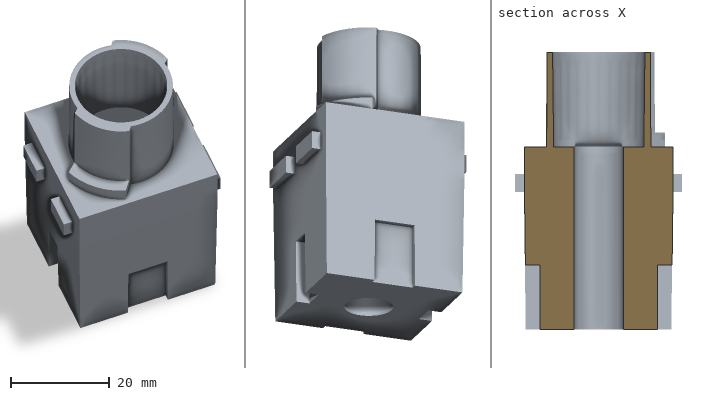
import cadquery as cq
import math

body_width = 29.35
body_depth = 30.15
body_top = 37.0
band_bottom = 27.8
body_inset = 0.35

overall_depth = 33.85
lug_projection = (overall_depth - body_depth) / 2
lug_height = 3.65
front_lug_width = 6.95
front_lug_offset = 7.37
back_lug_width = 9.05
back_lug_offset = 7.3

slot_height = 13.05
y_slot_bottom_width = 5.2
y_slot_top_width = 4.9
y_slot_depth = 2.8
x_slot_bottom_width = 8.75
x_slot_top_width = 8.6
x_slot_depth = 1.2

total_height = 56.2
spigot_height = total_height - body_top
spigot_base_radius = 10.65
spigot_top_radius = 10.5
socket_top_radius = 9.35
socket_floor_radius = 9.15
bore_diameter = 9.9

rib_base_radius = 11.85
rib_top_radius = 11.65
foot_radius = 14.3
foot_height = 2.9
key_corner_angles = (110.0, 161.6)
key_flank_directions = (-47.0, -37.0)
flank_length = 6.0


def polar(radius, degrees):
    angle = math.radians(degrees)
    return (radius * math.cos(angle), radius * math.sin(angle))


def cone(base_radius, top_radius, height, base_z):
    """Upright tapered cylinder on the Z axis."""
    return cq.Workplane(cq.Solid.makeCone(base_radius, top_radius, height, pnt=cq.Vector(0, 0, base_z)))


def make_body():
    band = (
        cq.Workplane("XY")
        .workplane(offset=band_bottom)
        .rect(body_width, body_depth)
        .extrude(body_top - band_bottom)
    )
    lower = (
        cq.Workplane("XY")
        .rect(body_width - 2 * body_inset, body_depth - 2 * body_inset)
        .workplane(offset=band_bottom)
        .rect(body_width, body_depth)
        .loft(ruled=True)
    )
    return band.union(lower)


def make_lugs(width, offset, side):
    """Pair of lugs on the Y face selected by side (-1 front, +1 back)."""
    embed = lug_projection
    return (
        cq.Workplane("XY")
        .workplane(offset=band_bottom)
        .pushPoints([(x, side * body_depth / 2) for x in (-offset, offset)])
        .rect(width, lug_projection + embed)
        .extrude(lug_height)
    )


def make_slot_pair(plane, bottom_width, top_width, face_distance, depth):
    """Cutters for two opposite slots that narrow upward.

    face_distance runs from the Z axis to the slotted face at the bottom edge.
    """
    outline = (
        cq.Workplane(plane)
        .polyline(
            [
                (-bottom_width / 2, 0),
                (bottom_width / 2, 0),
                (top_width / 2, slot_height),
                (-top_width / 2, slot_height),
            ]
        )
        .close()
    )
    across = outline.extrude(2 * face_distance, both=True)
    core_side = 2 * (face_distance - depth)
    core = cq.Workplane("XY").rect(core_side, core_side).extrude(slot_height)
    return across.cut(core)


def make_key():
    """One rib and foot, filling the wedge between the two flanks."""
    start_angle, end_angle = key_corner_angles
    start = polar(foot_radius, start_angle)
    end = polar(foot_radius, end_angle)
    inner_points = []
    for corner, direction in zip((start, end), key_flank_directions):
        step = polar(flank_length, direction)
        inner_points.append((corner[0] + step[0], corner[1] + step[1]))
    wedge = (
        cq.Workplane("XY")
        .workplane(offset=body_top)
        .moveTo(*start)
        .threePointArc(polar(foot_radius, (start_angle + end_angle) / 2), end)
        .lineTo(*inner_points[1])
        .lineTo(*inner_points[0])
        .close()
        .extrude(spigot_height)
    )
    foot_layer = (
        cq.Workplane("XY")
        .workplane(offset=body_top)
        .rect(body_width, body_depth)
        .extrude(foot_height)
    )
    foot = wedge.intersect(foot_layer)
    rib = wedge.intersect(
        cone(rib_base_radius, rib_top_radius, spigot_height, body_top)
    )
    return foot.union(rib)


def make_spigot():
    spigot = cone(spigot_base_radius, spigot_top_radius, spigot_height, body_top)
    key = make_key()
    for turn in (0, 180):
        spigot = spigot.union(key.rotate((0, 0, 0), (0, 0, 1), turn))
    return spigot.cut(cone(socket_floor_radius, socket_top_radius, spigot_height, body_top))


result = make_body()
result = result.union(make_lugs(front_lug_width, front_lug_offset, -1))
result = result.union(make_lugs(back_lug_width, back_lug_offset, 1))
result = result.cut(
    make_slot_pair("XZ", y_slot_bottom_width, y_slot_top_width, body_depth / 2 - body_inset, y_slot_depth)
)
result = result.cut(
    make_slot_pair("YZ", x_slot_bottom_width, x_slot_top_width, body_width / 2 - body_inset, x_slot_depth)
)
result = result.union(make_spigot())
result = result.cut(cq.Workplane("XY").circle(bore_diameter / 2).extrude(body_top))